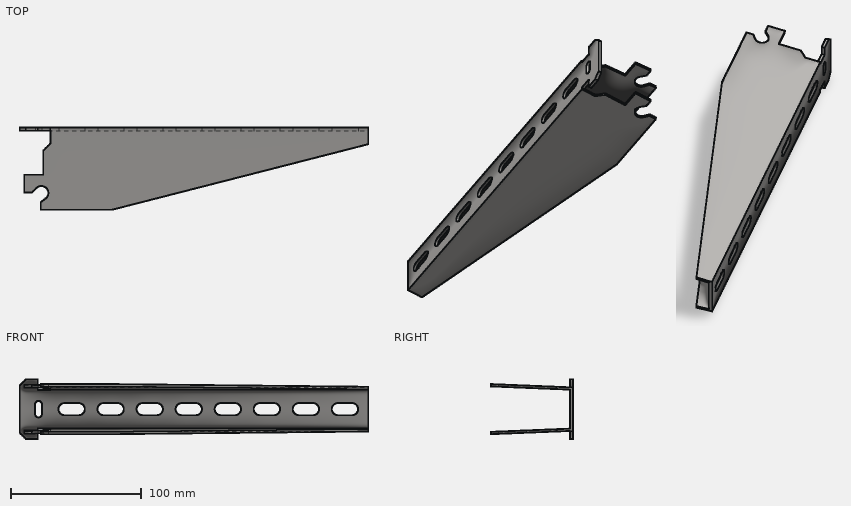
import cadquery as cq
import math

length = 267.0
depth = 63.0
head_height = 46.0
head_length = 14.0
head_chamfer = 4.8
web_thickness = 2.5
web_half_height = 16.8

slot_length = 20.0
slot_height = 9.0
slot_pitch = 30.0
slot_count = 8
first_slot_x = 39.8
head_slot_x = 14.5
head_slot_height = 12.5
head_slot_width = 5.0

flange_thickness = 2.0
splay_angle = 2.35
flange_root_x = 23.5
relief_start_y = -12.3
shoulder_x = 18.0
relief_end_y = relief_start_y - (flange_root_x - shoulder_x)
hook_x = 3.5
hook_top_y = -36.0
hook_bottom_y = -50.0
toe_x = 16.0
taper_start_x = 71.0
tip_y = -12.8

notch_x = 16.5
notch_y = -50.2
notch_radius = 5.3


def make_web():
    half_head = head_height / 2
    neck_half_height = web_half_height - flange_thickness
    upper = [
        (0, half_head - head_chamfer),
        (head_chamfer, half_head),
        (head_length, half_head),
        (head_length, neck_half_height),
        (flange_root_x, neck_half_height),
        (flange_root_x, web_half_height),
        (length, web_half_height),
    ]
    lower = [(x, -z) for x, z in reversed(upper)]
    web = cq.Workplane("XZ").polyline(upper + lower).close().extrude(web_thickness)
    slot_centres = [(first_slot_x + i * slot_pitch, 0) for i in range(slot_count)]
    slots = cq.Workplane("XZ").pushPoints(slot_centres).slot2D(slot_length, slot_height)
    head_slot = cq.Workplane("XZ").center(head_slot_x, 0).slot2D(head_slot_height, head_slot_width, 90)
    return web.cut(slots.extrude(web_thickness)).cut(head_slot.extrude(web_thickness))


def make_flange():
    root_y = -web_thickness / 2
    tangent_offset = notch_radius * math.sin(math.radians(45))
    upper_mouth_x = notch_x - notch_radius * math.sqrt(2) + (hook_bottom_y - notch_y)
    lower_mouth_y = notch_y - notch_radius * math.sqrt(2) + (notch_x - toe_x)
    flange = (
        cq.Workplane("XY")
        .moveTo(length, root_y)
        .lineTo(flange_root_x, root_y)
        .lineTo(flange_root_x, relief_start_y)
        .lineTo(shoulder_x, relief_end_y)
        .lineTo(shoulder_x, hook_top_y)
        .lineTo(hook_x, hook_top_y)
        .lineTo(hook_x, hook_bottom_y)
        .lineTo(upper_mouth_x, hook_bottom_y)
        .lineTo(notch_x - tangent_offset, notch_y + tangent_offset)
        .threePointArc(
            (notch_x + tangent_offset, notch_y + tangent_offset),
            (notch_x + tangent_offset, notch_y - tangent_offset),
        )
        .lineTo(toe_x, lower_mouth_y)
        .lineTo(toe_x, -depth)
        .lineTo(taper_start_x, -depth)
        .lineTo(length, tip_y)
        .close()
        .extrude(-flange_thickness)
    )
    bend_start = (0, -web_thickness, 0)
    bend_end = (1, -web_thickness, 0)
    return flange.rotate(bend_start, bend_end, -splay_angle).translate((0, 0, web_half_height))


upper_flange = make_flange()
lower_flange = upper_flange.mirror("XY")
result = make_web().union(upper_flange).union(lower_flange)